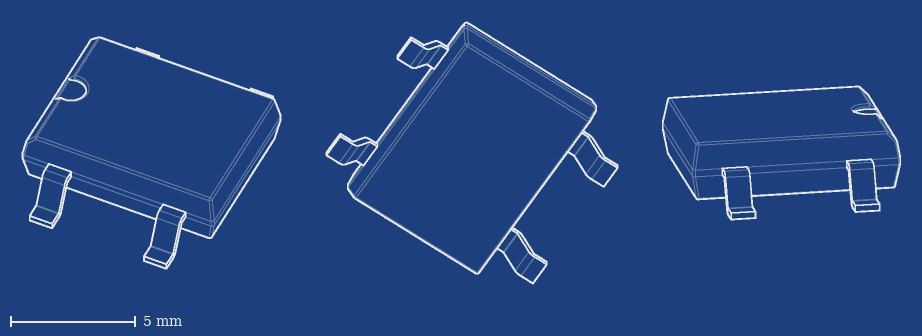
import cadquery as cq
import math

body_length = 8.5
body_width = 6.4
lead_span = 10.0
total_height = 2.66

standoff = 0.25
lead_thickness = 0.28
band_top = 1.59
band_bottom = band_top - lead_thickness
draft_angle = 10.0
edge_radius = 0.1

bevel_top_x = -3.75
bevel_angle = 46.0

recess_radius = 0.61
recess_center_x = -3.57
recess_depth = 0.21

lead_width = 1.0
lead_pitch = 5.08
shoulder_y = 3.55
inner_bend_radius = 0.03
foot_length = 0.6


def drafted_block(base_z, height):
    """Block that narrows away from the band; a negative height points it down."""
    return (
        cq.Workplane("XY")
        .workplane(offset=base_z)
        .rect(body_length, body_width)
        .extrude(height, taper=draft_angle)
    )


def bevel_cutter():
    """Wedge above the bevel plane, running the full body width."""
    reach = body_length / 4
    rise = reach * math.tan(math.radians(bevel_angle))
    return (
        cq.Workplane("XZ")
        .moveTo(bevel_top_x, total_height)
        .line(-reach, -rise)
        .line(0, rise)
        .close()
        .extrude(body_width / 2, both=True)
    )


def recess_cutter():
    """Upright cylinder that breaks out through the bevel."""
    return (
        cq.Workplane("XY")
        .workplane(offset=total_height)
        .center(recess_center_x, 0)
        .circle(recess_radius)
        .extrude(-recess_depth)
    )


def is_rounded_edge(edge):
    """True for every edge except the band outline and the foot of the recess wall."""
    tolerance = 0.001
    box = edge.BoundingBox()
    floor_z = total_height - recess_depth
    is_level = box.zlen < tolerance
    on_band = min(abs(box.zmin - band_top), abs(box.zmin - band_bottom)) < tolerance
    on_floor = abs(box.zmin - floor_z) < tolerance
    is_wall_foot = on_floor and edge.geomType() == "CIRCLE"
    return not (is_level and (on_band or is_wall_foot))


def make_body():
    band = (
        cq.Workplane("XY")
        .workplane(offset=band_bottom)
        .rect(body_length, body_width)
        .extrude(lead_thickness)
    )
    upper = drafted_block(band_top, total_height - band_top)
    lower = drafted_block(band_bottom, standoff - band_bottom)
    solid = band.union(upper).union(lower).cut(bevel_cutter()).cut(recess_cutter())
    edges = [edge for edge in solid.edges().vals() if is_rounded_edge(edge)]
    return solid.newObject(edges).fillet(edge_radius)


def make_lead(x_center):
    """Lead on the +Y side: shoulder, sloped leg and foot, joined by two concentric bends."""
    inner = inner_bend_radius
    outer = inner_bend_radius + lead_thickness
    root_y = body_width / 2 - edge_radius
    tip_y = lead_span / 2
    foot_y = tip_y - foot_length
    upper_z = band_bottom - inner
    lower_z = outer

    leg_run = foot_y - shoulder_y
    leg_drop = upper_z - lower_z
    center_distance = math.hypot(leg_run, leg_drop)
    bend_angle = math.atan2(leg_drop, leg_run) + math.asin((inner + outer) / center_distance)

    def shoulder_point(radius, angle):
        return (shoulder_y + radius * math.sin(angle), upper_z + radius * math.cos(angle))

    def foot_point(radius, angle):
        return (foot_y - radius * math.sin(angle), lower_z - radius * math.cos(angle))

    return (
        cq.Workplane("YZ")
        .workplane(offset=x_center - lead_width / 2)
        .moveTo(root_y, band_top)
        .lineTo(shoulder_y, band_top)
        .threePointArc(shoulder_point(outer, bend_angle / 2), shoulder_point(outer, bend_angle))
        .lineTo(*foot_point(inner, bend_angle))
        .threePointArc(foot_point(inner, bend_angle / 2), foot_point(inner, 0))
        .lineTo(tip_y, lead_thickness)
        .lineTo(tip_y, 0)
        .lineTo(foot_y, 0)
        .threePointArc(foot_point(outer, bend_angle / 2), foot_point(outer, bend_angle))
        .lineTo(*shoulder_point(inner, bend_angle))
        .threePointArc(shoulder_point(inner, bend_angle / 2), shoulder_point(inner, 0))
        .lineTo(root_y, band_bottom)
        .close()
        .extrude(lead_width)
    )


result = make_body()
for lead_x in (-lead_pitch / 2, lead_pitch / 2):
    lead = make_lead(lead_x)
    result = result.union(lead).union(lead.mirror("XZ"))